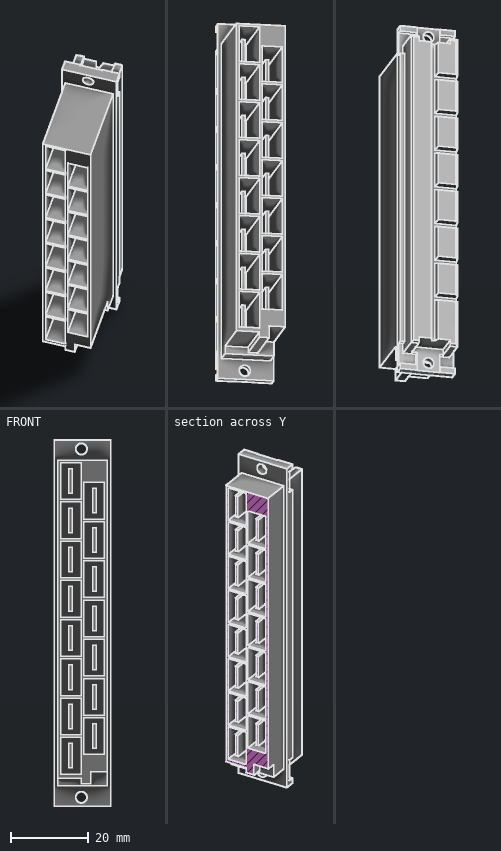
import cadquery as cq


flange_width = 14.7
flange_length = 94.75
flange_front = 20.9
flange_back = 23.8
hole_diameter = 2.8
hole_spacing = 90.0
hole_x = -0.3

pocket_floor = 22.3
pocket_end_margin = 1.5
pocket_length = 6.1
pad_width = 6.1
pad_relief = 0.2

housing_width = 12.9
housing_length = 84.1

left_count = 8
right_count = 7
pitch = 10.1
chamber_width = 5.3
chamber_length = 9.5
chamber_depth = 18.95
column_wall = 0.7
chamber_x = (chamber_width + column_wall) / 2
left_column_center = 1.2
blade_x = 3.1
blade_thickness = 0.9
blade_length = 6.35
blade_height = 11.4
blade_tip = chamber_depth - blade_height

key_depth = 15.9
key_left_x = -0.4
key_right_x = 2.2
key_left_z = -40.1
key_middle_z = -41.5
key_right_z = -38.4

block_width = 12.4
block_length = 84.9
block_back = 30.9
block_chamfer = 0.6
end_recess_width = 8.3
end_recess_depth = 1.5

groove_mouth = 1.9
groove_bottom = 0.9
groove_depth = 1.7


def box(x0, x1, y0, y1, z0, z1):
    """Box between opposite corners."""
    return cq.Workplane("XY").box(x1 - x0, y1 - y0, z1 - z0, centered=False).translate((x0, y0, z0))


def centered_box(width, y0, y1, length, x=0.0, z=0.0):
    """Box from y0 to y1, centered on (x, z)."""
    return box(x - width / 2, x + width / 2, y0, y1, z - length / 2, z + length / 2)


def column_heights(count):
    """Z centers of one column of chambers, from the top down."""
    top = left_column_center + (count - 1) * pitch / 2
    return [top - i * pitch for i in range(count)]


def make_flange():
    flange = centered_box(flange_width, flange_front, flange_back, flange_length)
    pad_edge = pad_width / 2
    side = flange_width / 2
    pocket_outer = flange_length / 2 - pocket_end_margin
    pocket_z = pocket_outer - pocket_length / 2
    relief_length = pocket_end_margin + pocket_length
    for end in (-1, 1):
        for x0, x1 in ((-side, hole_x - pad_edge), (hole_x + pad_edge, side)):
            z0 = end * pocket_z - pocket_length / 2
            pocket = box(x0, x1, pocket_floor, flange_back, z0, z0 + pocket_length)
            flange = flange.cut(pocket)
        relief_z = end * (flange_length - relief_length) / 2
        flange = flange.cut(
            centered_box(pad_width, flange_back - pad_relief, flange_back, relief_length, hole_x, relief_z)
        )
    return flange


def make_wiring_block():
    block = centered_box(block_width, pocket_floor, block_back, block_length)
    block = block.faces(">Y").chamfer(block_chamfer)
    recess_front = flange_back - pad_relief
    recess_z = (block_length - end_recess_depth) / 2
    for end in (-1, 1):
        block = block.cut(
            centered_box(end_recess_width, recess_front, block_back, end_recess_depth, z=end * recess_z)
        )
    return block


def groove_profile(plane, center):
    """Tapered groove outline, open at the back face; the plane's second axis is Y."""
    bottom = block_back - groove_depth
    return cq.Workplane(plane).polyline([
        (center - groove_mouth / 2, block_back),
        (center - groove_bottom / 2, bottom),
        (center + groove_bottom / 2, bottom),
        (center + groove_mouth / 2, block_back),
    ]).close()


def cut_grooves(body):
    body = body.cut(groove_profile("XY", 0.0).extrude(block_length / 2, both=True))
    across = cq.Plane(origin=(0, 0, 0), xDir=(0, 0, 1), normal=(-1, 0, 0))
    for z in column_heights(left_count)[1:]:
        body = body.cut(groove_profile(across, z + pitch / 2).extrude(block_width / 2))
    return body


def cut_chambers(body):
    """Open chambers at the mating face, each with a contact blade standing on its floor."""
    for side, count in ((-1, left_count), (1, right_count)):
        for z in column_heights(count):
            chamber = centered_box(chamber_width, 0, chamber_depth, chamber_length, side * chamber_x, z)
            blade = centered_box(blade_thickness, blade_tip, chamber_depth, blade_length, side * blade_x, z)
            body = body.cut(chamber.cut(blade))
    return body


def cut_key_steps(body):
    side = housing_width / 2
    bottom = -housing_length / 2
    steps = (
        (-side, key_left_x, key_left_z),
        (key_left_x, key_right_x, key_middle_z),
        (key_right_x, side, key_right_z),
    )
    for x0, x1, top in steps:
        body = body.cut(box(x0, x1, 0, key_depth, bottom, top))
    return body


def cut_mounting_holes(body):
    for end in (-1, 1):
        hole = cq.Workplane("XZ", origin=(hole_x, flange_front, end * hole_spacing / 2))
        body = body.cut(hole.circle(hole_diameter / 2).extrude(flange_front - flange_back))
    return body


housing = centered_box(housing_width, 0, flange_front, housing_length)
body = housing.union(make_flange()).union(make_wiring_block())
body = cut_chambers(body)
body = cut_key_steps(body)
body = cut_grooves(body)
result = cut_mounting_holes(body)